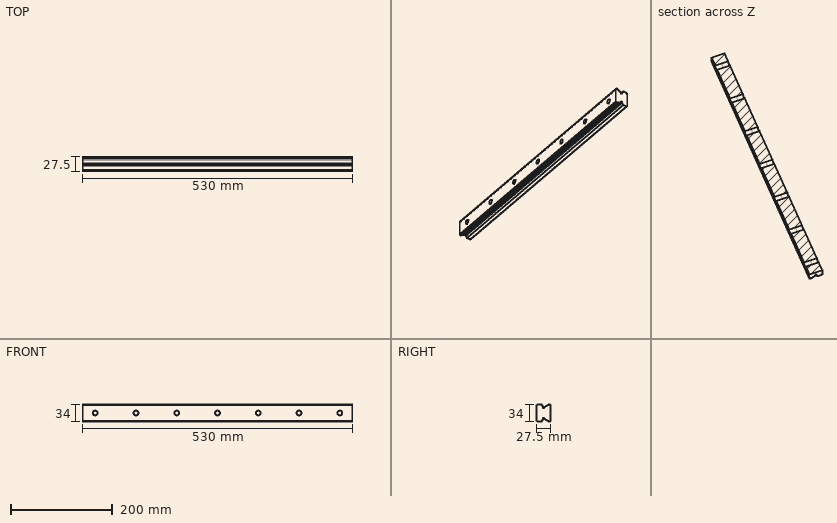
import cadquery as cq
import math

LENGTH = 530.0
DEPTH = 27.5
HEIGHT = 34.0

FRONT_BEVEL = 2.0
BACK_BEVEL = 1.5

GROOVE_FRONT_LIP = 10.0
GROOVE_BACK_LIP = 24.5
FRONT_WALL_ANGLE = 60
FLANK_BREAK = 21.0
UPPER_FLANK_ANGLE = 31
LOWER_FLANK_ANGLE = 30

RELIEF_FRONT = 12.5
RELIEF_BACK = 15.0
RELIEF_DEPTH = 7.0

HOLE_COUNT = 7
HOLE_PITCH = 80.0
HOLE_DIAMETER = 9.0


def drop(run, angle):
    """Height lost over a horizontal run at a slope given in degrees."""
    return run * math.tan(math.radians(angle))


def rail_body():
    """Extrude the symmetric rail section along X, centred on the origin."""
    top = HEIGHT / 2
    front = -DEPTH / 2
    back = DEPTH / 2
    wall_foot = top - drop(RELIEF_FRONT - GROOVE_FRONT_LIP, FRONT_WALL_ANGLE)
    relief_floor = top - RELIEF_DEPTH
    break_height = top - drop(GROOVE_BACK_LIP - FLANK_BREAK, UPPER_FLANK_ANGLE)
    flank_foot = break_height - drop(FLANK_BREAK - RELIEF_BACK, LOWER_FLANK_ANGLE)
    upper_outline = [
        (front, top - FRONT_BEVEL),
        (front + FRONT_BEVEL, top),
        (front + GROOVE_FRONT_LIP, top),
        (front + RELIEF_FRONT, wall_foot),
        (front + RELIEF_FRONT, relief_floor),
        (front + RELIEF_BACK, relief_floor),
        (front + RELIEF_BACK, flank_foot),
        (front + FLANK_BREAK, break_height),
        (front + GROOVE_BACK_LIP, top),
        (back - BACK_BEVEL, top),
        (back, top - BACK_BEVEL),
    ]
    lower_outline = [(y, -z) for y, z in reversed(upper_outline)]
    section = cq.Workplane("YZ").polyline(upper_outline + lower_outline).close()
    return section.extrude(LENGTH / 2, both=True)


def mounting_holes():
    """Evenly spaced cylinders along the middle of the rail, crossing it in Y."""
    return (
        cq.Workplane("XZ")
        .rarray(HOLE_PITCH, 5.5, HOLE_COUNT, 1)
        .circle(HOLE_DIAMETER / 2)
        .extrude(DEPTH, both=True)
    )


result = rail_body().cut(mounting_holes())